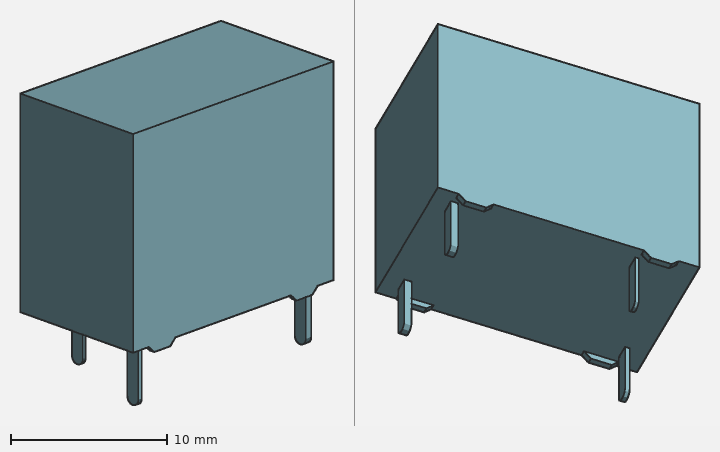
import cadquery as cq

total_height = 19.3
housing_width = 10.2
housing_length = 18.2
pin_length = 4.28
housing_height = total_height - pin_length

foot_thickness = 0.4
foot_height = 0.48
foot_top_length = 2.43
foot_tip_length = 1.45
foot_offset_y = 6.45

pin_width = 1.0
pin_spacing_x = 7.6
pin_x = pin_spacing_x / 2
coil_pin_y = 7.6
coil_pin_thickness = 0.5
inner_contact_y = -5.1
inner_contact_thickness = 0.25
outer_contact_y = -7.66
outer_contact_thickness = 0.33

pins = [
    (-pin_x, coil_pin_y, coil_pin_thickness),
    (pin_x, coil_pin_y, coil_pin_thickness),
    (-pin_x, inner_contact_y, inner_contact_thickness),
    (pin_x, outer_contact_y, outer_contact_thickness),
]


def make_housing():
    return cq.Workplane("XY").box(
        housing_width, housing_length, housing_height, centered=(True, True, False)
    )


def make_foot(outer_side, center_y):
    """Trapezoidal tab flush with the housing side at outer_side (-1 or +1)."""
    center_x = outer_side * (housing_width - foot_thickness) / 2
    return (
        cq.Workplane("YZ")
        .polyline([
            (-foot_top_length / 2, 0),
            (-foot_tip_length / 2, -foot_height),
            (foot_tip_length / 2, -foot_height),
            (foot_top_length / 2, 0),
        ])
        .close()
        .extrude(foot_thickness / 2, both=True)
        .translate((center_x, center_y, 0))
    )


def make_pin(center_x, center_y, thickness):
    """Flat pin hanging from the underside, ending in a half circle."""
    half_width = pin_width / 2
    tip_start_z = half_width - pin_length
    return (
        cq.Workplane("XZ")
        .moveTo(-half_width, 0)
        .lineTo(-half_width, tip_start_z)
        .threePointArc((0, -pin_length), (half_width, tip_start_z))
        .lineTo(half_width, 0)
        .close()
        .extrude(thickness / 2, both=True)
        .translate((center_x, center_y, 0))
    )


result = make_housing()
for side in (-1, 1):
    for foot_y in (-foot_offset_y, foot_offset_y):
        result = result.union(make_foot(side, foot_y))
for x, y, thickness in pins:
    result = result.union(make_pin(x, y, thickness))